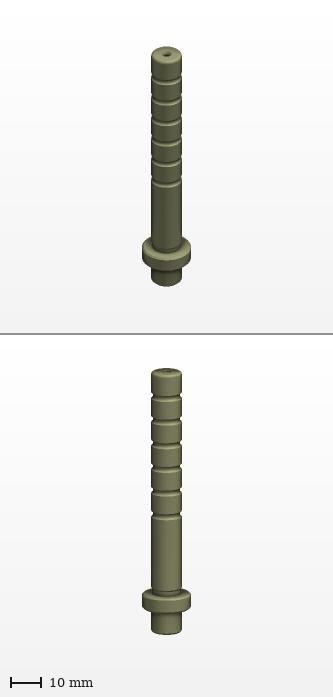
import cadquery as cq
import math

total_length = 88.0
shaft_radius = 10.0 / 2

spigot_length = 6.9
end_chamfer = 0.5
relief_width = 1.1
relief_depth = 0.6
relief_fillet = 0.2

flange_radius = 16.0 / 2
flange_thickness = 5.0
flange_chamfer = 0.5

neck_length = 2.0
neck_depth = 0.35
neck_taper_height = 0.5

top_fillet = 1.0

groove_count = 6
groove_pitch = 8.0
groove_width = 2.0
groove_depth = 0.6

center_mouth_radius = 3.4 / 2
center_bore_radius = 1.8 / 2
center_bore_depth = 3.5
countersink_half_angle = 45.0
drill_point_half_angle = 60.0

flange_bottom = spigot_length + relief_width
flange_top = flange_bottom + flange_thickness
neck_top = flange_top + neck_length
relief_radius = shaft_radius - relief_depth
neck_radius = shaft_radius - neck_depth


def point_on_circle(center_r, center_z, radius, angle):
    """Point on a circle in the radial plane, at an angle in degrees."""
    turn = math.radians(angle)
    return center_r + radius * math.cos(turn), center_z + radius * math.sin(turn)


def revolve_about_axis(section):
    """Turn a closed XZ section a full revolution about the Z axis."""
    return section.revolve(360, (0, 0, 0), (0, 1, 0))


def make_body():
    """Revolve the stepped outline of spigot, flange, neck and shaft."""
    fillet_center_r = relief_radius + relief_fillet
    lower_fillet_z = spigot_length + relief_fillet
    upper_fillet_z = flange_bottom - relief_fillet
    top_center_r = shaft_radius - top_fillet
    top_center_z = total_length - top_fillet

    outline = (
        cq.Workplane("XZ")
        .lineTo(shaft_radius - end_chamfer, 0)
        .lineTo(shaft_radius, end_chamfer)
        .lineTo(shaft_radius, spigot_length)
        .lineTo(fillet_center_r, spigot_length)
        .threePointArc(
            point_on_circle(fillet_center_r, lower_fillet_z, relief_fillet, 225),
            (relief_radius, lower_fillet_z),
        )
        .lineTo(relief_radius, upper_fillet_z)
        .threePointArc(
            point_on_circle(fillet_center_r, upper_fillet_z, relief_fillet, 135),
            (fillet_center_r, flange_bottom),
        )
        .lineTo(flange_radius - flange_chamfer, flange_bottom)
        .lineTo(flange_radius, flange_bottom + flange_chamfer)
        .lineTo(flange_radius, flange_top - flange_chamfer)
        .lineTo(flange_radius - flange_chamfer, flange_top)
        .lineTo(neck_radius, flange_top)
        .lineTo(neck_radius, neck_top - neck_taper_height)
        .lineTo(shaft_radius, neck_top)
        .lineTo(shaft_radius, top_center_z)
        .threePointArc(
            point_on_circle(top_center_r, top_center_z, top_fillet, 45),
            (top_center_r, total_length),
        )
        .lineTo(0, total_length)
        .close()
    )
    return revolve_about_axis(outline)


def make_groove(center_z):
    """Ring with a circular-arc section that cuts one groove."""
    half_width = groove_width / 2
    outside_r = shaft_radius + groove_depth
    arc_radius = (half_width**2 + groove_depth**2) / (2 * groove_depth)
    floor_r = shaft_radius - groove_depth
    arc_center_r = floor_r + arc_radius
    half_angle = math.degrees(math.asin(half_width / arc_radius))
    section = (
        cq.Workplane("XZ")
        .moveTo(shaft_radius, center_z - half_width)
        .threePointArc(
            point_on_circle(arc_center_r, center_z, arc_radius, 180 + half_angle / 2),
            (floor_r, center_z),
        )
        .threePointArc(
            point_on_circle(arc_center_r, center_z, arc_radius, 180 - half_angle / 2),
            (shaft_radius, center_z + half_width),
        )
        .lineTo(outside_r, center_z + half_width)
        .lineTo(outside_r, center_z - half_width)
        .close()
    )
    return revolve_about_axis(section)


def make_center_hole():
    """Countersunk centre hole with a conical drill point."""
    countersink_depth = (center_mouth_radius - center_bore_radius) / math.tan(
        math.radians(countersink_half_angle)
    )
    point_depth = center_bore_radius / math.tan(math.radians(drill_point_half_angle))
    bore_bottom = total_length - center_bore_depth
    section = (
        cq.Workplane("XZ")
        .moveTo(0, total_length)
        .lineTo(center_mouth_radius, total_length)
        .lineTo(center_bore_radius, total_length - countersink_depth)
        .lineTo(center_bore_radius, bore_bottom)
        .lineTo(0, bore_bottom - point_depth)
        .close()
    )
    return revolve_about_axis(section)


result = make_body()
for index in range(1, groove_count + 1):
    result = result.cut(make_groove(total_length - index * groove_pitch))
result = result.cut(make_center_hole())